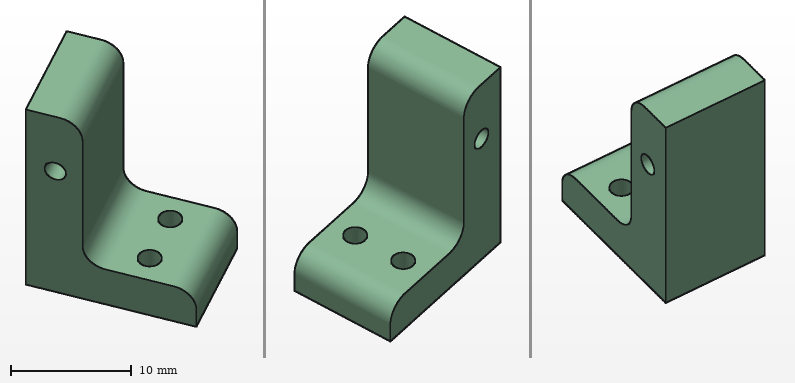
import cadquery as cq

length = 15.0
width = 10.0
height = 20.0

wall_thickness = 5.0
base_thickness = 4.0
corner_radius = 2.0

cross_hole_diameter = 1.88
cross_hole_x = 2.6
cross_hole_z = 13.8

mount_hole_diameter = 2.0
mount_hole_x = (wall_thickness + length) / 2
mount_hole_spacing = width / 2


def bracket_body():
    """L profile with its corner at the origin, centred on Y, with rounded edges."""
    profile = [
        (0, 0),
        (length, 0),
        (length, base_thickness),
        (wall_thickness, base_thickness),
        (wall_thickness, height),
        (0, height),
    ]
    body = cq.Workplane("XZ").polyline(profile).close().extrude(width / 2, both=True)
    rounded_corners = profile[2:5]
    for x, z in rounded_corners:
        edge_finder = cq.selectors.NearestToPointSelector((x, 0, z))
        body = body.edges("|Y").edges(edge_finder).fillet(corner_radius)
    return body


def cross_hole():
    return (
        cq.Workplane("XZ")
        .center(cross_hole_x, cross_hole_z)
        .circle(cross_hole_diameter / 2)
        .extrude(width, both=True)
    )


def mount_holes():
    half_spacing = mount_hole_spacing / 2
    return (
        cq.Workplane("XY")
        .pushPoints([(mount_hole_x, -half_spacing), (mount_hole_x, half_spacing)])
        .circle(mount_hole_diameter / 2)
        .extrude(height)
    )


result = bracket_body().cut(cross_hole()).cut(mount_holes())